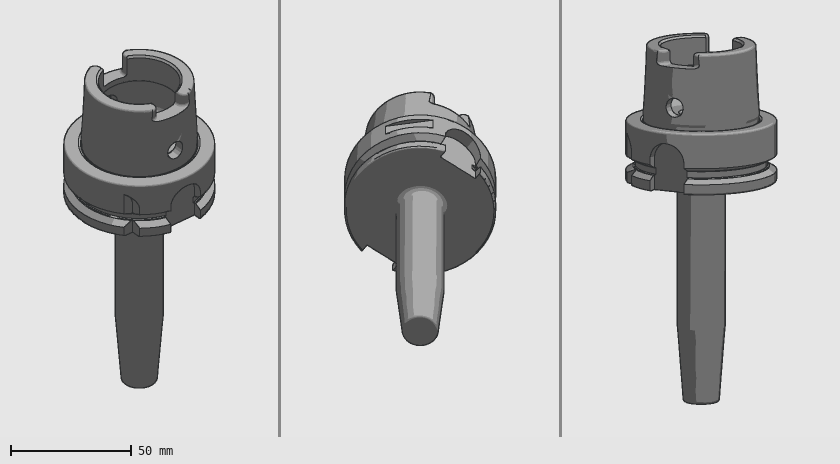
import cadquery as cq
import math


shank_length = 32.0
taper_base_radius = 24.4
taper_slope = 0.05
shank_rim_fillet = 1.2
relief_radius = 24.1
relief_top_z = 2.1
relief_run_out_z = 1.0
relief_floor_z = -0.5
relief_floor_radius = 24.5
relief_outer_radius = 25.4

bore_radius = 17.0
bore_rim_chamfer = 0.9
bore_straight_depth = 12.5
clamp_radius = 19.7
clamp_shoulder_slope = 30.0
bore_depth = 29.2
bore_floor_fillet = 4.0
pilot_radius = 8.5
pilot_depth = 8.0
pilot_chamfer = 0.9
cross_hole_diameter = 8.0
cross_hole_z = 9.1

drive_slot_width = 12.54
drive_slot_flat_x = 20.7
drive_mouth_radius = 3.0
drive_floor_fillet = 1.5
drive_slot_depth_minus_x = 9.8
drive_slot_depth_plus_x = 6.1

flange_radius = 31.5
flange_height = 26.0
flange_top_fillet = 1.0
flange_bottom_fillet = 0.8
groove_z = -18.1
groove_width = 3.4
groove_radius = 27.5
groove_step_radius = 28.5
groove_root_fillet = 0.4
groove_flank_angle = 30.0

keyway_width_minus_x = 18.0
keyway_width_plus_x = 16.0
keyway_floor_x = 26.5
keyway_top_z = -4.8

notch_side = 19.8
notch_run_out_radius = 8.0
notch_run_out_z = -12.2
chip_flat_width = 20.0
chip_flat_height = 6.0
chip_flat_z = -7.1
chip_flat_azimuth = 135.0

nose_radius = 10.0
nose_end_z = -120.0
nose_taper_start_z = -88.0
nose_tip_radius = 7.52
nose_tip_fillet = 1.2
nose_root_fillet = 3.0

overcut = 10.0


def taper_radius(z):
    return taper_base_radius - taper_slope * z


def make_body():
    """Solid of revolution from nose tip to shank rim."""
    flank_drop = (flange_radius - groove_step_radius) * math.tan(math.radians(groove_flank_angle))
    groove_top = groove_z + groove_width / 2
    groove_bottom = groove_z - groove_width / 2
    profile = (
        cq.Workplane("XZ")
        .moveTo(0, nose_end_z)
        .lineTo(nose_tip_radius, nose_end_z)
        .lineTo(nose_radius, nose_taper_start_z)
        .lineTo(nose_radius, -flange_height - nose_root_fillet)
        .radiusArc((nose_radius + nose_root_fillet, -flange_height), nose_root_fillet)
        .lineTo(flange_radius - flange_bottom_fillet, -flange_height)
        .radiusArc((flange_radius, -flange_height + flange_bottom_fillet), -flange_bottom_fillet)
        .lineTo(flange_radius, groove_bottom - flank_drop)
        .lineTo(groove_step_radius, groove_bottom)
        .lineTo(groove_radius + groove_root_fillet, groove_bottom)
        .radiusArc((groove_radius, groove_bottom + groove_root_fillet), groove_root_fillet)
        .lineTo(groove_radius, groove_top - groove_root_fillet)
        .radiusArc((groove_radius + groove_root_fillet, groove_top), groove_root_fillet)
        .lineTo(groove_step_radius, groove_top)
        .lineTo(flange_radius, groove_top + flank_drop)
        .lineTo(flange_radius, -flange_top_fillet)
        .radiusArc((flange_radius - flange_top_fillet, 0), -flange_top_fillet)
        .lineTo(relief_outer_radius, 0)
        .lineTo(relief_floor_radius, relief_floor_z)
        .lineTo(relief_radius, relief_floor_z)
        .lineTo(relief_radius, relief_run_out_z)
        .lineTo(taper_radius(relief_top_z), relief_top_z)
        .lineTo(taper_radius(shank_length), shank_length)
        .lineTo(0, shank_length)
        .close()
    )
    body = profile.revolve(360, (0, 0, 0), (0, 1, 0))
    return body.faces("<Z").edges().fillet(nose_tip_fillet)


def make_bore():
    """Stepped clamping bore, opening at the shank rim."""
    straight_end = shank_length - bore_straight_depth
    floor_z = shank_length - bore_depth
    shoulder_height = (clamp_radius - bore_radius) * math.tan(math.radians(clamp_shoulder_slope))
    return (
        cq.Workplane("XZ")
        .moveTo(0, shank_length)
        .lineTo(bore_radius + bore_rim_chamfer, shank_length)
        .lineTo(bore_radius, shank_length - bore_rim_chamfer)
        .lineTo(bore_radius, straight_end)
        .lineTo(clamp_radius, straight_end - shoulder_height)
        .lineTo(clamp_radius, floor_z + bore_floor_fillet)
        .radiusArc((clamp_radius - bore_floor_fillet, floor_z), bore_floor_fillet)
        .lineTo(pilot_radius + pilot_chamfer, floor_z)
        .lineTo(pilot_radius, floor_z - pilot_chamfer)
        .lineTo(pilot_radius, floor_z - pilot_depth)
        .lineTo(0, floor_z - pilot_depth)
        .close()
        .revolve(360, (0, 0, 0), (0, 1, 0))
    )


def make_drive_slot(depth):
    """Cutter for a drive slot on +X: a parallel slot whose mouth flares with round corners."""
    half = drive_slot_width / 2
    corner_x = drive_slot_flat_x - drive_mouth_radius
    corner_y = half + drive_mouth_radius
    far_x = drive_slot_flat_x + overcut
    far_y = corner_y + overcut
    return (
        cq.Workplane("XY", origin=(0, 0, shank_length - depth))
        .moveTo(0, half)
        .lineTo(corner_x, half)
        .radiusArc((drive_slot_flat_x, corner_y), -drive_mouth_radius)
        .lineTo(drive_slot_flat_x, far_y)
        .lineTo(far_x, far_y)
        .lineTo(far_x, -far_y)
        .lineTo(drive_slot_flat_x, -far_y)
        .lineTo(drive_slot_flat_x, -corner_y)
        .radiusArc((corner_x, -half), -drive_mouth_radius)
        .lineTo(0, -half)
        .close()
        .extrude(depth + overcut)
        .faces("<Z")
        .edges()
        .fillet(drive_floor_fillet)
    )


def make_keyway(width):
    """Cutter for a flange keyway on +X: round top, open at the flange underside."""
    half = width / 2
    spring_z = keyway_top_z - half
    return (
        cq.Workplane("YZ", origin=(keyway_floor_x, 0, 0))
        .moveTo(-half, -flange_height - overcut)
        .lineTo(-half, spring_z)
        .threePointArc((0, keyway_top_z), (half, spring_z))
        .lineTo(half, -flange_height - overcut)
        .close()
        .extrude(overcut)
    )


def make_orientation_notch():
    """Cutter for the notch at +X -Y: a corner cut that runs out in an arc at its top."""
    arc_y = -notch_side - notch_run_out_radius
    arc_top = notch_run_out_z + notch_run_out_radius
    cutter_bottom = -flange_height - overcut
    return (
        cq.Workplane("YZ", origin=(notch_side, 0, 0))
        .moveTo(-notch_side, cutter_bottom)
        .lineTo(-notch_side, notch_run_out_z)
        .radiusArc((arc_y, arc_top), -notch_run_out_radius)
        .lineTo(arc_y - overcut, arc_top)
        .lineTo(arc_y - overcut, cutter_bottom)
        .close()
        .extrude(overcut)
    )


def make_chip_flat():
    """Cutter for the data-chip flat, facing midway between -X and +Y."""
    flat_distance = math.sqrt(flange_radius**2 - (chip_flat_width / 2) ** 2)
    return (
        cq.Workplane("XY")
        .box(overcut, chip_flat_width, chip_flat_height, centered=(False, True, True))
        .translate((flat_distance, 0, chip_flat_z))
        .rotate((0, 0, 0), (0, 0, 1), chip_flat_azimuth)
    )


def turned_to_minus_x(cutter):
    return cutter.rotate((0, 0, 0), (0, 0, 1), 180)



def make_cross_hole():
    """Drill passing through both sides of the shank along X."""
    hole = cq.Workplane("YZ", origin=(0, 0, cross_hole_z)).circle(cross_hole_diameter / 2)
    return hole.extrude(flange_radius, both=True)


result = make_body()

result = result.cut(make_drive_slot(drive_slot_depth_plus_x))
result = result.cut(turned_to_minus_x(make_drive_slot(drive_slot_depth_minus_x)))
result = result.faces(">Z").edges().fillet(shank_rim_fillet)

result = result.cut(make_bore())
result = result.cut(make_cross_hole())
result = result.cut(make_keyway(keyway_width_plus_x))
result = result.cut(turned_to_minus_x(make_keyway(keyway_width_minus_x)))
result = result.cut(make_orientation_notch())
result = result.cut(make_chip_flat())